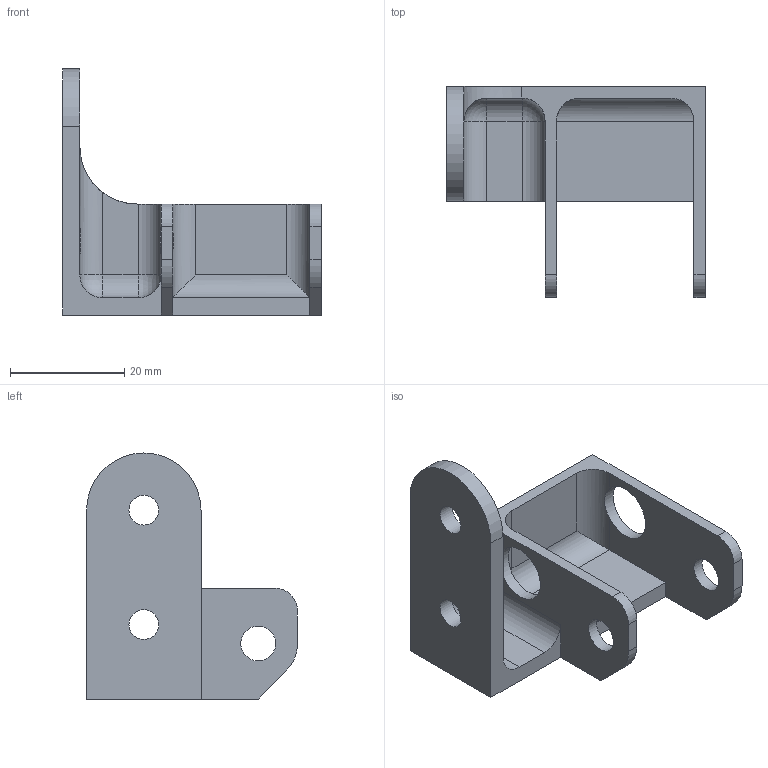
import cadquery as cq
import math

WIDTH = 45.2
BODY_DEPTH = 20.0
BODY_HEIGHT = 19.4
FLOOR = 3.0
BACK_WALL = 2.0

PLATE_THICKNESS = 3.0
PLATE_HEIGHT = 43.0
PLATE_RADIUS = BODY_DEPTH / 2
PLATE_HOLE_DIAMETER = 5.2
PLATE_HOLE_PITCH = 20.0
PLATE_TOP_HOLE_Z = PLATE_HEIGHT - PLATE_RADIUS
PLATE_HOLE_HEIGHTS = (PLATE_TOP_HOLE_Z - PLATE_HOLE_PITCH, PLATE_TOP_HOLE_Z)
GUSSET_RADIUS = 10.0

ARM_THICKNESS = 2.0
ARM_GAP = 24.0
ARM_REACH = 36.85
ARM_TOP_RADIUS = 4.0
PIVOT_DIAMETER = 6.1
PIVOT_Z = BODY_HEIGHT / 2
PIVOT_EDGE_RADIUS = 6.85
PIVOT_Y = -(ARM_REACH - PIVOT_EDGE_RADIUS)
OUTER_ARM_X = WIDTH - ARM_THICKNESS
INNER_ARM_X = OUTER_ARM_X - ARM_GAP - ARM_THICKNESS
ACCESS_HOLE_DIAMETER = 10.0

POCKET_RADIUS = 4.0

DIAGONAL_ANGLE = math.radians(45)
COS_45 = math.cos(DIAGONAL_ANGLE)


def box(x_min, x_max, y_min, y_max, z_min, z_max):
    """Axis-aligned box given by its limits."""
    size = (x_max - x_min, y_max - y_min, z_max - z_min)
    return cq.Workplane("XY").box(*size, centered=False).translate((x_min, y_min, z_min))


def cross_hole(diameter, y, z, x_min, x_max):
    """Cylinder along X used to drill a wall."""
    plane = cq.Workplane("YZ", origin=(x_min, 0, 0))
    return plane.center(y, z).circle(diameter / 2).extrude(x_max - x_min)


def make_plate():
    """Upright plate with a full-round top."""
    return (
        cq.Workplane("YZ")
        .moveTo(0, 0)
        .lineTo(0, PLATE_TOP_HOLE_Z)
        .threePointArc((-PLATE_RADIUS, PLATE_HEIGHT), (-BODY_DEPTH, PLATE_TOP_HOLE_Z))
        .lineTo(-BODY_DEPTH, 0)
        .close()
        .extrude(PLATE_THICKNESS)
    )


def make_gusset():
    """Concave blend rising from the top of the body to the plate."""
    arc_center_x = PLATE_THICKNESS + GUSSET_RADIUS
    arc_center_z = BODY_HEIGHT + GUSSET_RADIUS
    diagonal = GUSSET_RADIUS * COS_45
    return (
        cq.Workplane("XZ")
        .moveTo(PLATE_THICKNESS, BODY_HEIGHT)
        .lineTo(arc_center_x, BODY_HEIGHT)
        .threePointArc(
            (arc_center_x - diagonal, arc_center_z - diagonal),
            (PLATE_THICKNESS, arc_center_z),
        )
        .close()
        .extrude(BODY_DEPTH)
    )


def make_arm(x):
    """Arm with a rounded top corner and a 45-degree lower edge tangent to the pivot round."""
    top_diagonal = ARM_TOP_RADIUS * COS_45
    top_center_y = -ARM_REACH + ARM_TOP_RADIUS
    top_center_z = BODY_HEIGHT - ARM_TOP_RADIUS
    tangent_offset = PIVOT_EDGE_RADIUS * COS_45
    tangent_y = PIVOT_Y - tangent_offset
    tangent_z = PIVOT_Z - tangent_offset
    mid_angle = DIAGONAL_ANGLE / 2
    round_mid = (
        PIVOT_Y - PIVOT_EDGE_RADIUS * math.cos(mid_angle),
        PIVOT_Z - PIVOT_EDGE_RADIUS * math.sin(mid_angle),
    )
    return (
        cq.Workplane("YZ", origin=(x, 0, 0))
        .moveTo(0, 0)
        .lineTo(0, BODY_HEIGHT)
        .lineTo(top_center_y, BODY_HEIGHT)
        .threePointArc(
            (top_center_y - top_diagonal, top_center_z + top_diagonal),
            (-ARM_REACH, top_center_z),
        )
        .lineTo(-ARM_REACH, PIVOT_Z)
        .threePointArc(round_mid, (tangent_y, tangent_z))
        .lineTo(tangent_y + tangent_z, 0)
        .close()
        .extrude(ARM_THICKNESS)
    )


def make_plate_pocket():
    """Pocket between plate and inner arm, rounded along its floor and its back corners."""
    blank = box(PLATE_THICKNESS, INNER_ARM_X, -ARM_REACH, -BACK_WALL, FLOOR, PLATE_HEIGHT)
    return blank.edges("(|Z and >Y) or (<Z and (not <Y))").fillet(POCKET_RADIUS)


def make_arm_pocket():
    """Pocket between the arms: round back corners mitred with a round along the back of the floor."""
    x_min = INNER_ARM_X + ARM_THICKNESS
    blank = box(x_min, OUTER_ARM_X, -ARM_REACH, -BACK_WALL, FLOOR, PLATE_HEIGHT)
    round_corners = blank.edges("|Z and >Y").fillet(POCKET_RADIUS)
    round_floor = blank.edges("<Z and >Y").fillet(POCKET_RADIUS)
    return round_corners.intersect(round_floor)


def make_bracket():
    """Body with plate, gusset and arms, with its pockets and bores."""
    bracket = box(0, WIDTH, -BODY_DEPTH, 0, 0, BODY_HEIGHT).union(make_plate()).union(make_gusset())
    bracket = bracket.cut(make_plate_pocket()).cut(make_arm_pocket())

    for arm_x in (INNER_ARM_X, OUTER_ARM_X):
        bracket = bracket.union(make_arm(arm_x))

    for hole_z in PLATE_HOLE_HEIGHTS:
        bracket = bracket.cut(
            cross_hole(PLATE_HOLE_DIAMETER, -PLATE_RADIUS, hole_z, 0, PLATE_THICKNESS)
        )
    access_z = min(PLATE_HOLE_HEIGHTS)
    bracket = bracket.cut(
        cross_hole(ACCESS_HOLE_DIAMETER, -PLATE_RADIUS, access_z, PLATE_THICKNESS, WIDTH)
    )
    return bracket.cut(cross_hole(PIVOT_DIAMETER, PIVOT_Y, PIVOT_Z, INNER_ARM_X, WIDTH))


result = make_bracket()